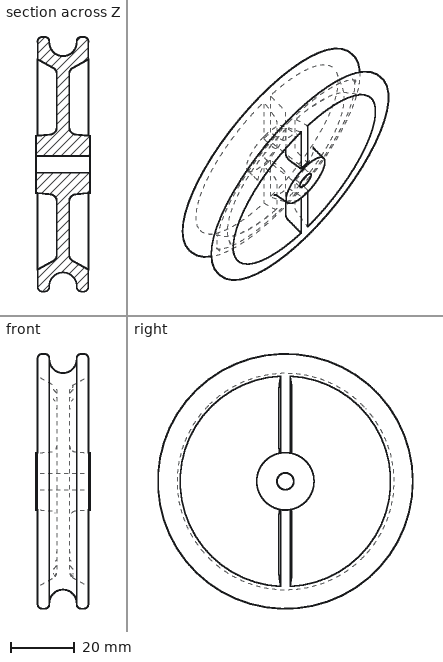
import math

import cadquery as cq

wheel_radius = 40.0
rim_width = 16.0
hub_width = 17.0
web_thickness = 4.0
flange_edge_radius = 1.5

groove_radius = 4.25
groove_bottom_radius = 34.0

recess_mouth_radius = 33.0
recess_draft = 29.0
hub_face_radius = 9.0
hub_draft = 5.0
floor_fillet = 2.2

rib_width = 3.0
rib_draft = 5.0
bore_diameter = 5.2

half_rim = rim_width / 2
half_hub = hub_width / 2
half_web = web_thickness / 2
recess_depth = half_rim - half_web
hub_height = half_hub - half_web
recess_floor_radius = recess_mouth_radius - recess_depth * math.tan(math.radians(recess_draft))
hub_base_radius = hub_face_radius + hub_height * math.tan(math.radians(hub_draft))
groove_center_radius = groove_bottom_radius + groove_radius
rib_base_width = rib_width + 2 * recess_depth * math.tan(math.radians(rib_draft))


def make_blank():
    """Solid wheel disc with the half-round rope groove and rounded flange edges."""
    disc = cq.Workplane("YZ").circle(wheel_radius).extrude(half_rim, both=True)
    groove_profile = (
        cq.Workplane("XY")
        .moveTo(-groove_radius, wheel_radius)
        .lineTo(-groove_radius, groove_center_radius)
        .threePointArc((0, groove_bottom_radius), (groove_radius, groove_center_radius))
        .lineTo(groove_radius, wheel_radius)
        .close()
    )
    groove = groove_profile.revolve(360, (0, 0, 0), (1, 0, 0))
    outermost = cq.selectors.RadiusNthSelector(-1)
    grooved_disc = disc.cut(groove)
    return grooved_disc.edges("%CIRCLE").edges(outermost).fillet(flange_edge_radius)


def make_recess(side):
    """Ring-shaped pocket between rim and hub; side is +1 or -1 along X."""
    floor_x = side * half_web
    face_x = side * half_rim
    hub_x = side * half_hub
    ring = (
        cq.Workplane("XY")
        .moveTo(floor_x, hub_base_radius)
        .lineTo(floor_x, recess_floor_radius)
        .lineTo(face_x, recess_mouth_radius)
        .lineTo(hub_x, recess_mouth_radius)
        .lineTo(hub_x, hub_face_radius)
        .close()
        .revolve(360, (0, 0, 0), (1, 0, 0))
    )
    floor_edges = ring.faces("<X" if side > 0 else ">X").edges()
    return floor_edges.fillet(floor_fillet)


def make_hub_core():
    """Cylinder whose ends form the hub faces; the recesses later draft its sides."""
    return cq.Workplane("YZ").circle(hub_base_radius).extrude(half_hub, both=True)


def make_ribs(side):
    """Two drafted ribs along Z, flush with the rim face and running from hub to rim."""
    profile = (
        cq.Workplane("XY")
        .moveTo(0, -rib_base_width / 2)
        .lineTo(side * half_web, -rib_base_width / 2)
        .lineTo(side * half_rim, -rib_width / 2)
        .lineTo(side * half_rim, rib_width / 2)
        .lineTo(side * half_web, rib_base_width / 2)
        .lineTo(0, rib_base_width / 2)
        .close()
    )
    return profile.extrude(recess_mouth_radius, both=True)


wheel = make_blank().union(make_hub_core())
for side in (-1, 1):
    wheel = wheel.cut(make_recess(side)).union(make_ribs(side))

bore = cq.Workplane("YZ").circle(bore_diameter / 2).extrude(half_hub, both=True)
result = wheel.cut(bore)